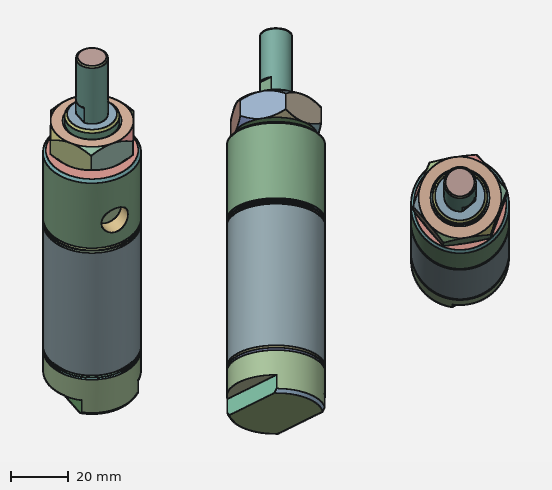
import cadquery as cq
import math

barrel_diameter = 34.0
barrel_top = 104.5
barrel_chamfer = 1.0
neck_diameter = 19.0
neck_top = 120.6
neck_chamfer = 0.9
bottom_chamfer_width = 0.9
bottom_chamfer_height = 1.3

tooth_count = 2
tooth_depth = 1.0
tooth_height = 0.95
upper_tooth_land = 0.3
upper_teeth_top = 74.6
lower_teeth_bottom = 16.0

housing_flat_spacing = 22.3
housing_flat_height = 6.5

port_diameter = 10.5
port_depth = 5.8
port_height = 85.5

nut_across_flats = 28.6
nut_bottom = 107.0
nut_thickness = 10.5
nut_countersink = 0.7
nut_sides = 6

rod_diameter = 11.1
rod_top = 146.0
rod_chamfer = 0.6
rod_flat_spacing = 9.5
rod_flat_height = 6.4

barrel_radius = barrel_diameter / 2
neck_radius = neck_diameter / 2


def side_flats(spacing, bottom, height, outer_diameter):
    """Two blocks, on the -Y and +Y sides, that leave parallel flats when cut away."""
    block_depth = outer_diameter / 2
    block_offset = (spacing + block_depth) / 2
    return (
        cq.Workplane("XY", origin=(0, 0, bottom))
        .pushPoints([(0, -block_offset), (0, block_offset)])
        .rect(2 * outer_diameter, block_depth)
        .extrude(height)
    )


def sawtooth_grooves(step_height, cone_height, land):
    """Rings to cut from the barrel, starting at the first step; negative heights go downward."""
    grooves = cq.Workplane("XZ")
    for tooth in range(tooth_count):
        step = step_height + tooth * (cone_height + land)
        grooves = (
            grooves.moveTo(barrel_radius, step)
            .lineTo(barrel_radius - tooth_depth, step)
            .lineTo(barrel_radius, step + cone_height)
            .close()
        )
    return grooves.revolve(360, (0, 0, 0), (0, 1, 0))


def make_housing():
    neck = (
        cq.Workplane("XY", origin=(0, 0, barrel_top))
        .circle(neck_radius)
        .extrude(neck_top - barrel_top)
        .faces(">Z")
        .chamfer(neck_chamfer)
    )
    barrel = (
        cq.Workplane("XY")
        .circle(barrel_radius)
        .extrude(barrel_top)
        .faces(">Z")
        .chamfer(barrel_chamfer)
        .faces("<Z")
        .chamfer(bottom_chamfer_height, bottom_chamfer_width)
    )
    port = (
        cq.Workplane("YZ", origin=(barrel_radius - port_depth, 0, port_height))
        .circle(port_diameter / 2)
        .extrude(port_depth)
    )
    return (
        barrel.union(neck)
        .cut(sawtooth_grooves(upper_teeth_top, -tooth_height, -upper_tooth_land))
        .cut(sawtooth_grooves(lower_teeth_bottom, tooth_height, 0))
        .cut(side_flats(housing_flat_spacing, 0, housing_flat_height, barrel_diameter))
        .cut(port)
    )


def make_nut():
    across_corners = nut_across_flats / math.cos(math.pi / nut_sides)
    corner_chamfer = (across_corners - nut_across_flats) / 2
    hexagon = (
        cq.Workplane("XY", origin=(0, 0, nut_bottom))
        .transformed(rotate=(0, 0, 180 / nut_sides))
        .polygon(nut_sides, across_corners)
        .extrude(nut_thickness)
    )
    chamfered_disc = (
        cq.Workplane("XY", origin=(0, 0, nut_bottom))
        .circle(across_corners / 2)
        .extrude(nut_thickness)
        .faces("<Z or >Z")
        .chamfer(corner_chamfer)
    )
    bore = (
        cq.Workplane("XY", origin=(0, 0, nut_bottom))
        .circle(neck_radius)
        .extrude(nut_thickness)
    )
    nut = hexagon.intersect(chamfered_disc).cut(bore)
    return nut.edges(cq.selectors.RadiusNthSelector(0)).chamfer(nut_countersink)


def make_rod():
    rod = (
        cq.Workplane("XY", origin=(0, 0, neck_top))
        .circle(rod_diameter / 2)
        .extrude(rod_top - neck_top)
        .faces(">Z")
        .chamfer(rod_chamfer)
    )
    return rod.cut(side_flats(rod_flat_spacing, neck_top, rod_flat_height, rod_diameter))


housing = make_housing()
nut = make_nut()
rod = make_rod()

result = cq.Compound.makeCompound([housing.val(), nut.val(), rod.val()])